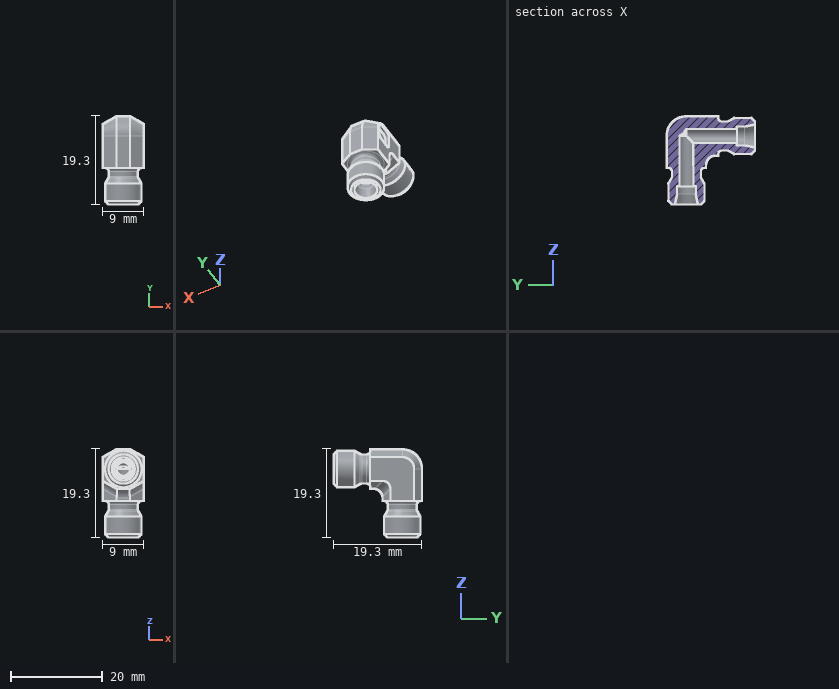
import cadquery as cq
import math


overall_length = 19.33
arm_length = 15.0
across_flats = 9.0
hexagon_half_corner = math.radians(60)
body_length = 7.0
inner_bend_radius = 2.0
half_width = across_flats / 2
half_height = overall_length - arm_length
edge_height = half_width / math.tan(hexagon_half_corner)
point_height = 2 * edge_height

thread_diameter = 8.0
neck_diameter = 6.4
relief_radius = 0.8
thread_start = 10.4
end_chamfer = (thread_diameter - neck_diameter) / 2
shoulder_angle = math.radians(30)

bore_diameter = 3.0
drill_point_angle = math.radians(118)
seat_mouth_diameter = 5.0
tube_diameter = 4.0
tube_stop_depth = 4.0
seat_half_angle = math.radians(12)

recess_size = 4.37
recess_corner_radius = 1.0
recess_depth = 0.97
recess_offset = -0.2


def to_vertical(arm):
    """Mirror a shape on the -Y arm in the plane Y = Z, onto the -Z arm."""
    return arm.mirror((0, 1, -1))


def make_hexagon_half():
    """The -X half of the elbow with full hexagon points, filleted along its inner mitre."""
    upper = [(-half_width, 0), (-half_width, edge_height), (0, point_height), (0, 0)]
    lower = [(0, -point_height), (-half_width, -edge_height)]
    arm = cq.Workplane("XZ").polyline(upper[:3] + lower).close().extrude(body_length)
    bend = cq.Workplane("XZ").polyline(upper).close().revolve(90, (0, 0, 0), (-1, 0, 0))
    elbow = arm.union(to_vertical(arm)).union(bend)
    inner_mitre = cq.selectors.NearestToPointSelector(
        (-half_width / 2, -(edge_height + point_height) / 2, -(edge_height + point_height) / 2)
    )
    return elbow.edges(inner_mitre).fillet(inner_bend_radius)


def make_crown_envelope():
    """Elbow outline in the YZ plane that cuts the hexagon points flat."""
    bend_middle = half_height * math.sqrt(0.5)
    return (
        cq.Workplane("YZ")
        .moveTo(-body_length, half_height)
        .lineTo(0, half_height)
        .threePointArc((bend_middle, bend_middle), (half_height, 0))
        .lineTo(half_height, -body_length)
        .lineTo(-half_height, -body_length)
        .lineTo(-half_height, -half_height - inner_bend_radius)
        .radiusArc((-half_height - inner_bend_radius, -half_height), -inner_bend_radius)
        .lineTo(-body_length, -half_height)
        .close()
        .extrude(half_width, both=True)
    )


def make_body():
    """Both hexagon halves joined and trimmed to flat crowns."""
    half = make_hexagon_half()
    return half.union(half.mirror("YZ")).intersect(make_crown_envelope())


def make_spigot():
    """Turned spigot on the -Y arm: relief neck, cone, thread cylinder and end chamfer."""
    neck = neck_diameter / 2
    thread = thread_diameter / 2
    neck_start = body_length + relief_radius
    cone_start = thread_start - (thread - neck) / math.tan(shoulder_angle)
    tangent = relief_radius * math.tan(shoulder_angle / 2)
    diagonal = relief_radius * math.sqrt(0.5)
    blend_start = cone_start - tangent

    def blend_point(angle):
        rise = relief_radius * (1 - math.cos(angle))
        return (neck + rise, -blend_start - relief_radius * math.sin(angle))

    return (
        cq.Workplane("XY")
        .moveTo(0, 0)
        .lineTo(neck, 0)
        .lineTo(neck, -body_length)
        .lineTo(neck + relief_radius, -body_length)
        .threePointArc(
            (neck + relief_radius - diagonal, -neck_start + diagonal),
            (neck, -neck_start),
        )
        .lineTo(neck, -blend_start)
        .threePointArc(blend_point(shoulder_angle / 2), blend_point(shoulder_angle))
        .lineTo(thread, -thread_start)
        .lineTo(thread, -arm_length + end_chamfer)
        .lineTo(thread - end_chamfer, -arm_length)
        .lineTo(0, -arm_length)
        .close()
        .revolve(360, (0, 0, 0), (0, 1, 0))
    )


def make_bore_half():
    """Bore, tube socket and sealing cone of the -Y arm, cut off at the mitre plane Y = Z."""
    bore = bore_diameter / 2
    mouth = seat_mouth_diameter / 2
    socket = tube_diameter / 2
    seat_depth = (mouth - socket) / math.tan(seat_half_angle)
    point_depth = bore / math.tan(drill_point_angle / 2)
    outline = [
        (0, point_depth),
        (bore, 0),
        (bore, -arm_length + tube_stop_depth),
        (socket, -arm_length + tube_stop_depth),
        (socket, -arm_length + seat_depth),
        (mouth, -arm_length),
        (0, -arm_length),
    ]
    drill = cq.Workplane("XY").polyline(outline).close().revolve(360, (0, 0, 0), (0, 1, 0))
    mitre_side = (
        cq.Workplane("YZ")
        .polyline([(-arm_length, -arm_length), (arm_length, arm_length), (-arm_length, arm_length)])
        .close()
        .extrude(half_width, both=True)
    )
    return drill.intersect(mitre_side)


def make_recess():
    """Rounded square pocket on the -X flat."""
    return (
        cq.Workplane("YZ", origin=(-half_width, recess_offset, recess_offset))
        .rect(recess_size, recess_size)
        .extrude(recess_depth)
        .edges("|X")
        .fillet(recess_corner_radius)
    )


spigot = make_spigot()
bore_half = make_bore_half()
result = make_body().union(spigot).union(to_vertical(spigot))
result = result.cut(bore_half).cut(to_vertical(bore_half)).cut(make_recess())